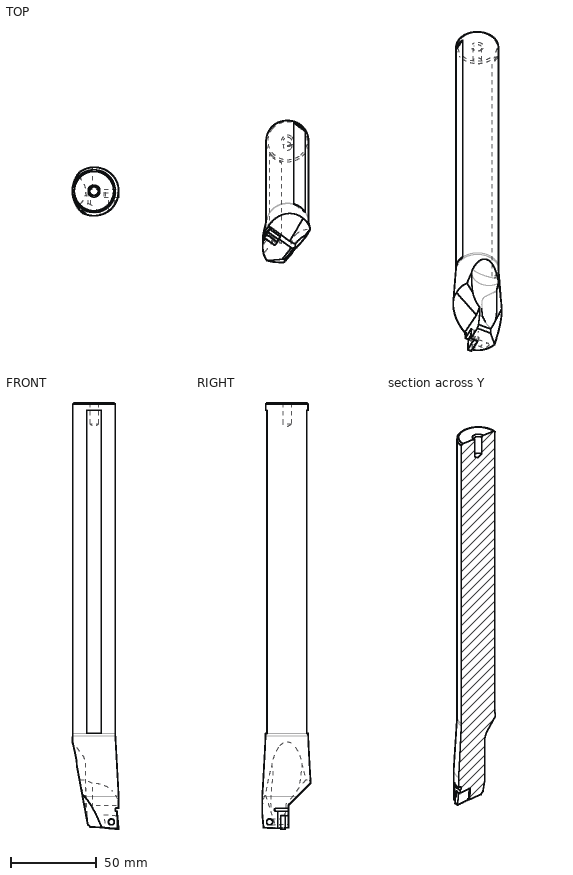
import cadquery as cq
import math

LENGTH = 249.5
SHANK_RADIUS = 12.5
TOP_CHAMFER = 1.0
FLAT_OFFSET = 11.7
FLAT_BOTTOM = 56.0
FLAT_TOP = 245.0

COOLANT_RADIUS = 2.5
COOLANT_MOUTH_RADIUS = 3.5
COOLANT_DEPTH = 12.5
DRILL_POINT_ANGLE = 118.0

COLLAR_STEP = 0.07
COLLAR_Z = 54.5
HEAD_RADIUS = 14.5
FLARE_BOTTOM = 19.5

OBLIQUE_POINT = (-12.7, 0, 51.5)
OBLIQUE_ANGLE = 10.5

FLUTE_RADIUS = 10.0
FLUTE_BEND = cq.Vector(-15.0, 0, 37.7)
FLUTE_RUNOUT_ANGLE = 37.0
LOW_FLUTE_RADIUS = 11.2
LOW_FLUTE_START = cq.Vector(-16.5, -0.2, 29.0)
LOW_FLUTE_TOE = cq.Vector(-15.0, -7.5, 0)
FLUTE_REACH = 62.4

RELIEF_POINT = (-2.2, -7.5, 1.2)
RELIEF_NORMAL = (-1.0, -1.08, -0.54)
HEEL_POINT = (-4.2, 0, 3.5)
HEEL_NORMAL = (-1, 0, -1)

STEP_Y = 1.0
STEP_POINT = (-1.0, 14.0, 27.0)
STEP_NORMAL = (0, 1, -1)
STEP_BEVEL_NORMAL = (-0.67, 1, -1)

TIP_X = 14.5
RAKE_Y = -1.0
INSERT_EDGE = 8.0
INSERT_CORNER = 80.0
INSERT_LEAD = 5.0
INSERT_THICKNESS = 2.5
SCREW_RADIUS = 1.7

UNDERSIDE_LIFT = 0.5
UNDERSIDE_SLOPE = 3.0
SEAT_X = 13.5
SEAT_TOP = 12.5
SEAT_NOTCH_RADIUS = 1.0

CUT_SIZE = 149.6


def half_space(point, normal):
    """Large block on the outer side of the plane through point."""
    return cq.Workplane(cq.Plane(origin=point, normal=normal)).rect(CUT_SIZE, CUT_SIZE).extrude(CUT_SIZE)


def make_blank():
    """Turned bar with its flared head."""
    profile = [
        (0, 0),
        (HEAD_RADIUS, 0),
        (HEAD_RADIUS, FLARE_BOTTOM),
        (SHANK_RADIUS + COLLAR_STEP, COLLAR_Z),
        (SHANK_RADIUS, FLAT_BOTTOM),
        (SHANK_RADIUS, LENGTH - TOP_CHAMFER),
        (SHANK_RADIUS - TOP_CHAMFER, LENGTH),
        (0, LENGTH),
    ]
    return cq.Workplane("XZ").polyline(profile).close().revolve(360, (0, 0, 0), (0, 1, 0))


def make_flats():
    """Stock removed for the two shank flats, facing -Y and +Y."""
    height = FLAT_TOP - FLAT_BOTTOM
    centers = [(0, side * (FLAT_OFFSET + SHANK_RADIUS / 2)) for side in (-1, 1)]
    layout = cq.Workplane("XY", origin=(0, 0, FLAT_BOTTOM)).pushPoints(centers)
    return layout.rect(2 * SHANK_RADIUS, SHANK_RADIUS).extrude(height)


def make_coolant_hole():
    """Countersunk blind hole with a drill-point bottom."""
    countersink = COOLANT_MOUTH_RADIUS - COOLANT_RADIUS
    bottom = LENGTH - COOLANT_DEPTH
    point = bottom - COOLANT_RADIUS / math.tan(math.radians(DRILL_POINT_ANGLE / 2))
    profile = [
        (0, point),
        (COOLANT_RADIUS, bottom),
        (COOLANT_RADIUS, LENGTH - countersink),
        (COOLANT_MOUTH_RADIUS, LENGTH),
        (0, LENGTH),
    ]
    return cq.Workplane("XZ").polyline(profile).close().revolve(360, (0, 0, 0), (0, 1, 0))


def cutter_path(radius, start, direction):
    """Straight stretch of the flute that begins with the cutter's ball end at start."""
    rod = cq.Workplane(cq.Solid.makeCylinder(radius, FLUTE_REACH, start, direction))
    return rod.union(cq.Workplane().sphere(radius).translate(start))


def make_flute():
    """Stock removed by the ball-ended cutters."""
    runout = math.radians(FLUTE_RUNOUT_ANGLE)
    runout_direction = cq.Vector(-math.sin(runout), 0, math.cos(runout))
    exit_stretch = cutter_path(FLUTE_RADIUS, FLUTE_BEND, runout_direction)
    upright_stretch = cutter_path(FLUTE_RADIUS, FLUTE_BEND, cq.Vector(0, 0, -1))
    low_stretch = cutter_path(LOW_FLUTE_RADIUS, LOW_FLUTE_START, LOW_FLUTE_TOE - LOW_FLUTE_START)
    return exit_stretch.union(upright_stretch).union(low_stretch)


def make_step():
    """Space in front of the insert, under a sloping roof that is bevelled toward -X."""
    roof = half_space(STEP_POINT, STEP_NORMAL).union(half_space(STEP_POINT, STEP_BEVEL_NORMAL))
    return half_space((0, STEP_Y, 0), (0, 1, 0)).intersect(roof)


def make_underside():
    """Stock below the holder's underside, which rises toward -X."""
    slope = math.radians(UNDERSIDE_SLOPE)
    return half_space((TIP_X, 0, UNDERSIDE_LIFT), (-math.sin(slope), 0, -math.cos(slope)))


def make_seat_relief():
    """Clearance along the +X side of the insert, with a round notch at its top end."""
    relief = cq.Workplane("XY", origin=(SEAT_X, 0, 0)).rect(CUT_SIZE, CUT_SIZE).extrude(SEAT_TOP)
    relief = relief.translate((CUT_SIZE / 2, 0, 0))
    notch = cq.Workplane("XZ", origin=(SEAT_X, CUT_SIZE / 2, SEAT_TOP - SEAT_NOTCH_RADIUS))
    return relief.union(notch.circle(SEAT_NOTCH_RADIUS).extrude(CUT_SIZE))


def edge_vector(angle):
    """One side of the rhombus, at an angle in degrees from +X toward +Z."""
    return cq.Vector(INSERT_EDGE * math.cos(math.radians(angle)), INSERT_EDGE * math.sin(math.radians(angle)))


TIP = cq.Vector(TIP_X, 0)
SIDE_EDGE = edge_vector(90 + INSERT_LEAD)
LOWER_EDGE = edge_vector(90 + INSERT_LEAD + INSERT_CORNER)


def insert_prism(back_y, front_y):
    """Prism on the insert's outline, from back_y to front_y."""
    corners = [TIP, TIP + SIDE_EDGE, TIP + SIDE_EDGE + LOWER_EDGE, TIP + LOWER_EDGE]
    outline = [corner.toTuple()[:2] for corner in corners]
    return cq.Workplane("XZ", origin=(0, front_y, 0)).polyline(outline).close().extrude(front_y - back_y)


def make_screw_hole():
    """Hole from the -Y side of the holder to the back of the insert."""
    center = TIP + (SIDE_EDGE + LOWER_EDGE) * 0.5
    back = cq.Workplane("XZ", origin=(0, RAKE_Y - INSERT_THICKNESS, 0))
    return back.center(center.x, center.y).circle(SCREW_RADIUS).extrude(HEAD_RADIUS)


def make_holder():
    slope = math.radians(OBLIQUE_ANGLE)
    oblique_normal = (-math.cos(slope), 0, -math.sin(slope))
    holder = make_blank().cut(make_flats()).cut(make_coolant_hole())
    holder = holder.cut(half_space(OBLIQUE_POINT, oblique_normal)).cut(make_flute())
    holder = holder.cut(half_space(RELIEF_POINT, RELIEF_NORMAL)).cut(half_space(HEEL_POINT, HEEL_NORMAL))
    holder = holder.cut(make_step()).cut(make_underside()).cut(make_seat_relief())
    pocket = insert_prism(RAKE_Y - INSERT_THICKNESS, STEP_Y)
    return holder.cut(pocket).cut(make_screw_hole())


holder = make_holder()
insert = insert_prism(RAKE_Y - INSERT_THICKNESS, RAKE_Y)

result = cq.Compound.makeCompound([holder.solids().val(), insert.val()])